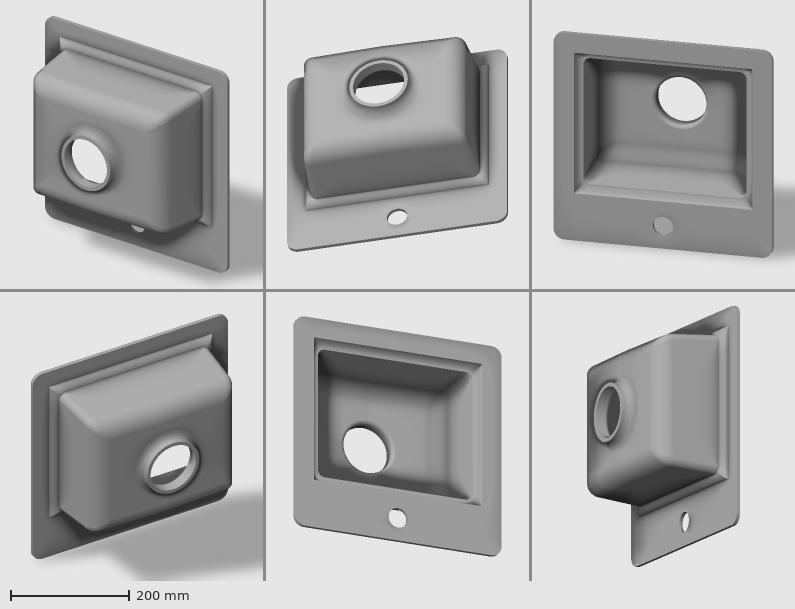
import cadquery as cq
import math


plate_side = 381.0
plate_thickness = 6.5
plate_corner_radius = 19.0
faucet_hole_diameter = 35.0
faucet_hole_z = -149.5

lip_width = 320.0
lip_height = 269.0
lip_radius = 19.0

bowl_center_z = 25.5
bowl_step = 13.7
bowl_width = lip_width - 2 * bowl_step
bowl_height = lip_height - 2 * bowl_step
bowl_draft = math.radians(4.0)
bowl_wall = 5.0
floor_depth = 134.0
floor_slope = math.radians(1.8)
floor_fillet = 31.5
corner_fillet = 12.5

total_depth = 152.5
drain_outer_radius = 50.5
drain_inner_radius = drain_outer_radius - plate_thickness
drain_outer_fillet = 12.5
drain_inner_fillet = 5.7

margin = 2.0


def section_at(depth, center_z=bowl_center_z):
    """Workplane parallel to the rim plate whose extrusions run toward -Y."""
    return cq.Workplane("XZ", origin=(0, -depth, center_z))


def bowl_region(half_x, half_z, shallow, deep):
    """Selects edges centred inside a box around the bowl axis, between two depths."""
    return cq.selectors.BoxSelector(
        (-half_x, -deep, bowl_center_z - half_z),
        (half_x, -shallow, bowl_center_z + half_z),
    )


def rim_plate():
    plate = section_at(0, center_z=0).rect(plate_side, plate_side).extrude(plate_thickness)
    return plate.edges("|Y").fillet(plate_corner_radius)


def quarter_round_bar(plane, width, radius):
    """Long bar with its back on Y = 0 and both of its front edges fully rounded."""
    flat = width / 2 - radius
    bend = radius * math.sqrt(0.5)
    return (
        plane.moveTo(-width / 2, 0)
        .threePointArc((-flat - bend, -bend), (-flat, -radius))
        .lineTo(flat, -radius)
        .threePointArc((flat + bend, -bend), (width / 2, 0))
        .close()
        .extrude(plate_side, both=True)
    )


def rolled_lip(inset):
    """Two crossed bars leave quarter-round sides with mitred corners, shrunk by inset."""
    radius = lip_radius - inset
    across_x = cq.Workplane("XY")
    across_z = cq.Workplane(
        cq.Plane(origin=(0, 0, bowl_center_z), xDir=(0, 0, 1), normal=(-1, 0, 0))
    )
    rounded_in_x = quarter_round_bar(across_x, lip_width - 2 * inset, radius)
    rounded_in_z = quarter_round_bar(across_z, lip_height - 2 * inset, radius)
    return rounded_in_x.intersect(rounded_in_z)


def bowl(inset):
    """Drafted bowl whose floor falls toward X = 0, shrunk by inset on every side."""
    widening = 2 * (lip_radius * math.tan(bowl_draft) - inset)
    top_width = bowl_width + widening
    top_height = bowl_height + widening
    walls = section_at(0).rect(top_width, top_height)
    walls = walls.extrude(total_depth, taper=math.degrees(bowl_draft))

    low = floor_depth - inset
    high = low - top_width / 2 * math.tan(floor_slope)
    above_floor = (
        cq.Workplane("XY")
        .polyline([
            (-top_width / 2, 0),
            (top_width / 2, 0),
            (top_width / 2, -high),
            (0, -low),
            (-top_width / 2, -high),
        ])
        .close()
        .extrude(plate_side, both=True)
    )
    body = walls.intersect(above_floor)

    floor_edges = bowl_region(top_width, top_height, high, low + margin)
    fold = bowl_region(margin, top_height, high, low + margin)
    body = body.edges(floor_edges - fold).fillet(floor_fillet - inset)
    wall_edges = bowl_region(top_width, top_height, lip_radius, low - floor_fillet)
    return body.edges(wall_edges).fillet(corner_fillet)


def basin(inset, tube_radius, tube_fillet):
    """Lip, bowl and drain tube joined, with the tube blended into the floor."""
    floor = floor_depth - inset
    tube_top = floor - plate_thickness
    tube = section_at(tube_top).circle(tube_radius).extrude(total_depth - tube_top)
    body = rolled_lip(inset).union(bowl(inset)).union(tube)
    tube_foot = bowl_region(tube_radius, tube_radius, tube_top, floor + margin)
    return body.edges(tube_foot).fillet(tube_fillet)


outside = basin(0, drain_outer_radius, drain_outer_fillet).union(rim_plate())
inside = basin(bowl_wall, drain_inner_radius, drain_inner_fillet)
faucet_hole = section_at(0, faucet_hole_z).circle(faucet_hole_diameter / 2).extrude(plate_thickness)

result = outside.cut(inside).cut(faucet_hole)